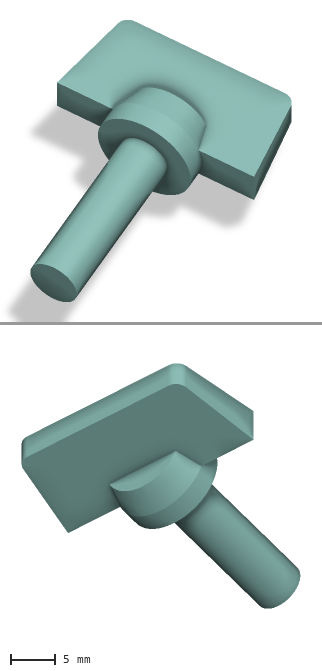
import cadquery as cq

total_length = 34.5
screw_length = 20.0
screw_diameter = 6.0

collar_diameter = 12.0
collar_thickness = 2.5

hub_height = 3.5
hub_top_diameter = 10.0

wing_base_width = 25.5
wing_top_width = 22.0
wing_base_thickness = 4.5
wing_top_thickness = 3.2
wing_corner_radius = 1.5

collar_end = -collar_thickness
screw_end = collar_end - screw_length
wing_height = total_length - screw_length - collar_thickness


def make_revolved_body():
    """Screw, collar and tapered hub as one solid of revolution about Y."""
    screw_radius = screw_diameter / 2
    collar_radius = collar_diameter / 2
    profile = [
        (0, screw_end),
        (screw_radius, screw_end),
        (screw_radius, collar_end),
        (collar_radius, collar_end),
        (collar_radius, 0),
        (hub_top_diameter / 2, hub_height),
        (0, hub_height),
    ]
    return cq.Workplane("XY").polyline(profile).close().revolve(360, (0, 0), (0, 1))


def make_trapezoid(plane, base_width, top_width, depth):
    """Prism with a trapezoid rising from Y = 0, centred on the sketch plane."""
    corners = [
        (-base_width / 2, 0),
        (base_width / 2, 0),
        (top_width / 2, wing_height),
        (-top_width / 2, wing_height),
    ]
    return cq.Workplane(plane).polyline(corners).close().extrude(depth / 2, both=True)


def make_wing():
    """Flat grip that narrows in both width and thickness towards its free edge."""
    outline = make_trapezoid("XY", wing_base_width, wing_top_width, wing_base_thickness)
    outline = outline.edges("|Z and >Y").fillet(wing_corner_radius)
    taper = make_trapezoid("ZY", wing_base_thickness, wing_top_thickness, wing_base_width)
    return outline.intersect(taper)


result = make_revolved_body().union(make_wing())